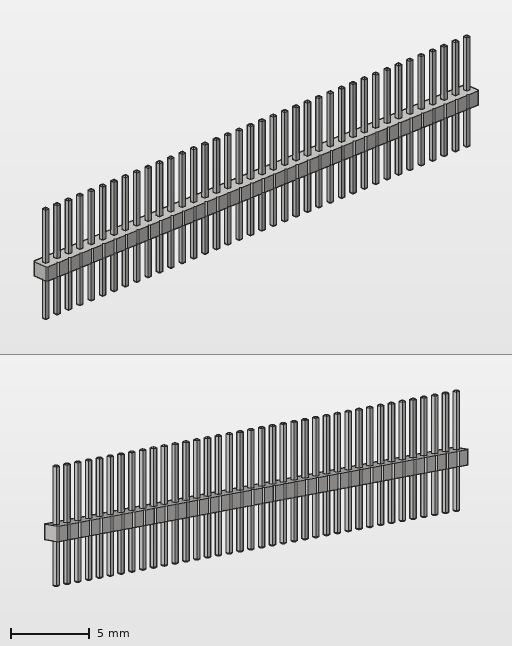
import cadquery as cq

pin_count = 38
pitch = 1.0
pin_width = 0.3
pin_tip_bevel = 0.08
pin_length_above = 3.8
pin_length_below = 3.0

body_width = 1.27
body_height = 1.0
corner_chamfer = 0.1

row_length = pin_count * pitch
half_width = body_width / 2
pin_length = pin_length_below + body_height + pin_length_above


def pin_position(index):
    """Y of a pin, with the row centred on the origin."""
    return (index + 0.5) * pitch - row_length / 2


def make_strip():
    """Strip whose cells have chamfered corners, leaving V notches between neighbours."""
    side = []
    for index in range(pin_count):
        centre = pin_position(index)
        side.append((half_width - corner_chamfer, centre - pitch / 2))
        side.append((half_width, centre - pitch / 2 + corner_chamfer))
        side.append((half_width, centre + pitch / 2 - corner_chamfer))
    side.append((half_width - corner_chamfer, row_length / 2))
    opposite_side = [(-x, y) for x, y in reversed(side)]
    return cq.Workplane("XY").polyline(side + opposite_side).close().extrude(body_height)


def make_pin():
    """Square pin with both tips bevelled on all four edges."""
    blank = cq.Workplane("XY").workplane(offset=-pin_length_below)
    pin = blank.rect(pin_width, pin_width).extrude(pin_length)
    return pin.faces("<Z or >Z").chamfer(pin_tip_bevel)


strip = make_strip()
pin = make_pin()
pins = [pin.translate((0, pin_position(index), 0)).val() for index in range(pin_count)]
result = cq.Workplane("XY").newObject([strip.val().fuse(*pins)])